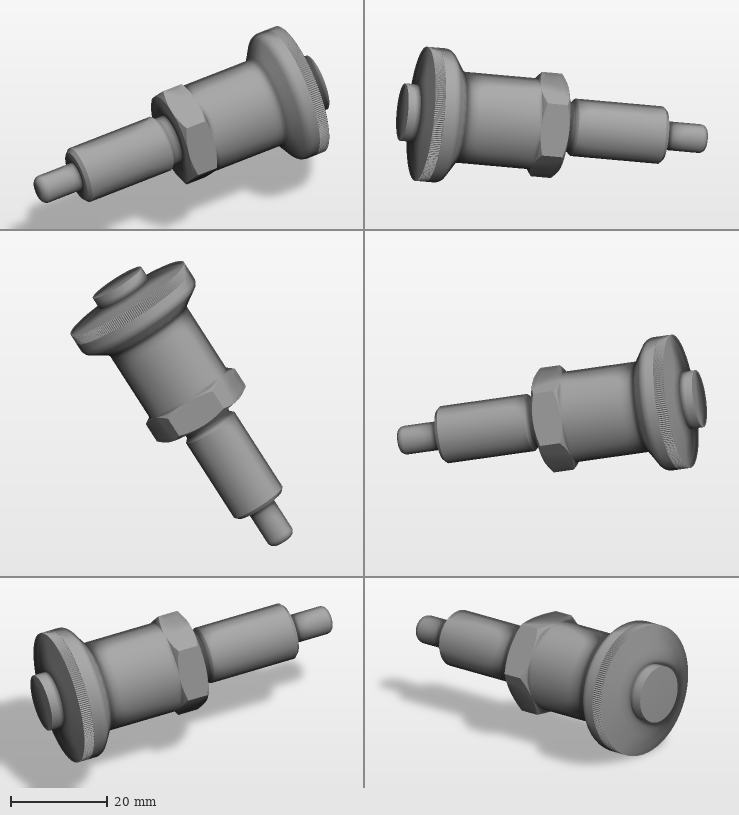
import cadquery as cq
import math


hex_across_flats = 19.0
hex_height = 6.0
hex_chamfer_angle = 30.0
shank_radius = 6.0
shank_length = 22.0
shank_chamfer = 0.75
relief_radius = shank_radius - shank_chamfer
relief_length = 1.9

pin_radius = 3.0
pin_projection = 9.0
pin_tip_fillet = 1.5
sleeve_radius = hex_across_flats / 2
knob_radius = 14.0
knob_base = 21.2
flare_angle = 56.0
flare_root_fillet = 1.0
flare_rim_fillet = 2.0
smooth_rim_width = 1.7
knurl_width = 2.2
crown_height = 1.35

button_radius = 6.0
overall_length = 64.92
button_top = overall_length - shank_length - pin_projection
button_dome_height = 0.22

groove_count = 200
groove_depth = 0.2
groove_share = 0.9

flare = math.radians(flare_angle)
flare_fillets = flare_root_fillet + flare_rim_fillet
flare_cone_rise = knob_radius - sleeve_radius - flare_fillets * (1 - math.cos(flare))
flare_cone_length = flare_cone_rise / math.tan(flare)
rim_start = knob_base + flare_fillets * math.sin(flare) + flare_cone_length
knurl_start = rim_start + smooth_rim_width
crown_edge = knurl_start + knurl_width


def turned(profile):
    """Revolve a closed (radius, Y) profile about the Y axis."""
    return profile.close().revolve(360, (0, 0, 0), (0, 1, 0))


def arc_middle(center, radius, start_angle, end_angle):
    """Point halfway along an arc, angles in degrees from the radial direction."""
    angle = math.radians((start_angle + end_angle) / 2)
    return center[0] + radius * math.cos(angle), center[1] + radius * math.sin(angle)


def make_hexagon():
    """Hexagon with corners on the X axis, chamfered conically on both faces."""
    corner_radius = hex_across_flats / 2 / math.cos(math.radians(30))
    chamfer_radius = hex_across_flats / 2
    chamfer_height = (corner_radius - chamfer_radius) * math.tan(math.radians(hex_chamfer_angle))
    prism = (
        cq.Workplane("XZ")
        .polygon(6, 2 * corner_radius)
        .extrude(-hex_height)
    )
    envelope = turned(
        cq.Workplane("XY")
        .moveTo(0, 0)
        .lineTo(chamfer_radius, 0)
        .lineTo(corner_radius, chamfer_height)
        .lineTo(corner_radius, hex_height - chamfer_height)
        .lineTo(chamfer_radius, hex_height)
        .lineTo(0, hex_height)
    )
    return prism.intersect(envelope)


def make_shank():
    """Threaded shank with a relief below the hexagon and the pin's rounded tip at its end."""
    tip = -shank_length - pin_projection
    tip_center = (pin_radius - pin_tip_fillet, tip + pin_tip_fillet)
    tip_middle = arc_middle(tip_center, pin_tip_fillet, -90, 0)
    return turned(
        cq.Workplane("XY")
        .moveTo(0, 0)
        .lineTo(relief_radius, 0)
        .lineTo(relief_radius, -relief_length)
        .lineTo(shank_radius, -relief_length - shank_chamfer)
        .lineTo(shank_radius, -shank_length + shank_chamfer)
        .lineTo(shank_radius - shank_chamfer, -shank_length)
        .lineTo(pin_radius, -shank_length)
        .lineTo(pin_radius, tip_center[1])
        .threePointArc(tip_middle, (tip_center[0], tip))
        .lineTo(0, tip)
    )


def make_groove_cutter():
    """Triangular prism that cuts the groove pointing along +X."""
    half_groove_angle = groove_share * math.pi / groove_count
    mouth_x = knob_radius * math.cos(half_groove_angle)
    mouth_z = knob_radius * math.sin(half_groove_angle)
    root_x = knob_radius - groove_depth
    reach = 2.0
    cutter_x = root_x + reach * (mouth_x - root_x)
    cutter_z = reach * mouth_z
    return (
        cq.Workplane("XZ", origin=(0, knurl_start, 0))
        .moveTo(root_x, 0)
        .lineTo(cutter_x, cutter_z)
        .lineTo(cutter_x, -cutter_z)
        .close()
        .extrude(-knurl_width)
    )


def make_knob():
    """Sleeve flaring into a knob with a knurled rim, a conical crown and the button's recess."""
    root_center = (sleeve_radius + flare_root_fillet, knob_base)
    root_end = (
        root_center[0] - flare_root_fillet * math.cos(flare),
        knob_base + flare_root_fillet * math.sin(flare),
    )
    root_middle = arc_middle(root_center, flare_root_fillet, 180, 180 - flare_angle)

    rim_center = (knob_radius - flare_rim_fillet, rim_start)
    flare_end = (
        rim_center[0] + flare_rim_fillet * math.cos(flare),
        rim_start - flare_rim_fillet * math.sin(flare),
    )
    rim_middle = arc_middle(rim_center, flare_rim_fillet, -flare_angle, 0)

    blank = turned(
        cq.Workplane("XY")
        .moveTo(0, hex_height)
        .lineTo(sleeve_radius, hex_height)
        .lineTo(sleeve_radius, knob_base)
        .threePointArc(root_middle, root_end)
        .lineTo(*flare_end)
        .threePointArc(rim_middle, (knob_radius, rim_start))
        .lineTo(knob_radius, crown_edge)
        .lineTo(button_radius, crown_edge + crown_height)
        .lineTo(button_radius, crown_edge)
        .lineTo(0, crown_edge)
    )

    groove_cutter = make_groove_cutter().val()
    cutters = [
        groove_cutter.rotate(cq.Vector(0, 0, 0), cq.Vector(0, 1, 0), 360 * i / groove_count)
        for i in range(groove_count)
    ]
    return blank.cut(cq.Workplane(cq.Compound.makeCompound(cutters)))


def make_housing():
    """Pin, shank, hexagon and knob as one solid."""
    return make_knob().union(make_hexagon()).union(make_shank())


def make_button():
    """Cylinder with a shallow spherical dome, standing in the knob's recess."""
    dome_edge = button_top - button_dome_height
    dome_sphere_radius = (button_radius**2 + button_dome_height**2) / (2 * button_dome_height)
    dome_center = (0, button_top - dome_sphere_radius)
    dome_edge_angle = math.degrees(math.acos(button_radius / dome_sphere_radius))
    dome_middle = arc_middle(dome_center, dome_sphere_radius, dome_edge_angle, 90)
    return turned(
        cq.Workplane("XY")
        .moveTo(0, crown_edge)
        .lineTo(button_radius, crown_edge)
        .lineTo(button_radius, dome_edge)
        .threePointArc(dome_middle, (0, button_top))
    )


housing = make_housing()
button = make_button()

result = cq.Compound.makeCompound([housing.val(), button.val()])